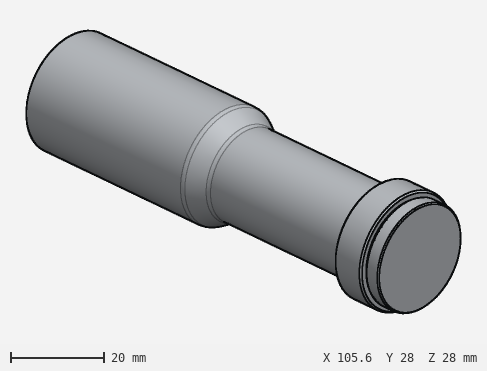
import cadquery as cq

total_length = 105.6
body_radius = 13.99
neck_radius = 11.1
tip_radius = 12.7
groove_radius = 12.4

taper_start = 47.5
taper_end = 52.6
taper_blend_radius = 2.1
flange_start = 93.6
flange_end = 101.6
groove_width = 0.5
body_chamfer = 0.3
flange_chamfer = 0.4
tip_chamfer = 0.3

groove_end = flange_end + groove_width

selection_margin = 1.1
selection_reach = body_radius + selection_margin


def cylinder(start, end, radius):
    """Solid cylinder on the X axis between two stations."""
    return cq.Workplane("YZ").workplane(offset=start).circle(radius).extrude(end - start)


def make_handle():
    """Body, conical shoulder and neck, with both shoulder edges rounded."""
    handle = (
        cq.Workplane("XY")
        .moveTo(0, 0)
        .lineTo(0, body_radius)
        .lineTo(taper_start, body_radius)
        .lineTo(taper_end, neck_radius)
        .lineTo(flange_start, neck_radius)
        .lineTo(flange_start, 0)
        .close()
        .revolve(360, (0, 0, 0), (1, 0, 0))
    )
    shoulder_edges = cq.selectors.BoxSelector(
        (taper_start - selection_margin, -selection_reach, -selection_reach),
        (taper_end + selection_margin, selection_reach, selection_reach),
        boundingbox=True,
    )
    handle = handle.edges(shoulder_edges).edges("%CIRCLE").fillet(taper_blend_radius)
    return handle.faces("<X").edges().chamfer(body_chamfer)


def make_flange():
    """Collar with both rims chamfered."""
    flange = cylinder(flange_start, flange_end, body_radius)
    return flange.edges("%CIRCLE").chamfer(flange_chamfer)


def make_tip():
    """End disc with a chamfered outer rim, set off from the flange by a narrow groove."""
    groove = cylinder(flange_end, groove_end, groove_radius)
    disc = cylinder(groove_end, total_length, tip_radius)
    return groove.union(disc.faces(">X").edges().chamfer(tip_chamfer))


result = make_handle().union(make_flange()).union(make_tip())